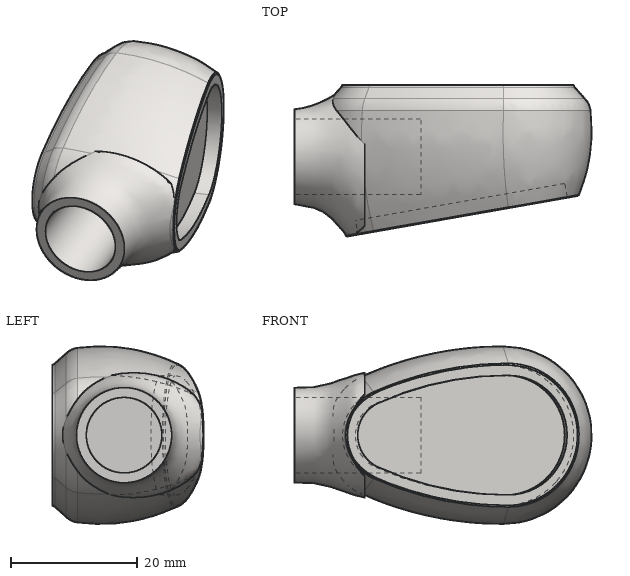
import cadquery as cq
import math


body_center_distance = 18.25
egg_radius_difference = 3.9
body_center_x = 33.05
body_radius = 13.9
widest_y = 1.25
widest_tilt = 3.5

back_y = 11.4
back_radius = 11.1
band_y = 10.95
band_radius = 11.35
bevel_y = 9.25
bevel_radius = 12.9
shoulder_y = 7.4
shoulder_radius = 13.85
shoulder_mid_y = 8.4
shoulder_mid_radius = 13.5

front_tilt = 10.0
front_center_distance = 18.65
front_center_x = 33.85
front_center_y = -8.15
front_radius = 11.3
rim_chamfer = 0.2
rim_width = 1.85
window_depth = 2.35

neck_radius = 7.55
bore_radius = 6.0
bore_depth = 20.0
neck_sections = [
    (0.0, -neck_radius, neck_radius, neck_radius),
    (2.75, -8.0, 8.1, 7.65),
    (5.5, -9.4, 9.3, 8.2),
    (8.3, -12.45, 10.8, 9.15),
    (11.1, -14.05, 11.0, 9.9),
]
trim_size = 141.25


def section_plane(center_x, y, tilt=0.0):
    """Plane through the large arc center, facing -Y and turned about Z by tilt degrees."""
    angle = math.radians(tilt)
    return cq.Plane(
        origin=(center_x, y, 0),
        xDir=(math.cos(angle), math.sin(angle), 0),
        normal=(math.sin(angle), -math.cos(angle), 0),
    )


def egg(plane, large_radius, center_distance=body_center_distance):
    """Egg outline on a plane, with the large arc centered on the plane origin."""
    small_radius = large_radius - egg_radius_difference
    side_radius = (
        center_distance**2 + large_radius**2 - small_radius**2
    ) / (2 * egg_radius_difference)
    side_drop = side_radius - large_radius
    end_angle = math.atan2(center_distance, side_drop)

    def side_point(angle, sign):
        x = -side_radius * math.sin(angle)
        z = side_radius * math.cos(angle) - side_drop
        return (x, sign * z)

    return (
        cq.Workplane(plane)
        .moveTo(0, -large_radius)
        .threePointArc((large_radius, 0), (0, large_radius))
        .threePointArc(side_point(end_angle / 2, 1), side_point(end_angle, 1))
        .threePointArc((-center_distance - small_radius, 0), side_point(end_angle, -1))
        .threePointArc(side_point(end_angle / 2, -1), (0, -large_radius))
        .close()
    )


def loft_eggs(sections, ruled=False):
    wires = [egg(*section).wire().val() for section in sections]
    return cq.Workplane(cq.Solid.makeLoft(wires, ruled))


def make_body():
    back = (section_plane(body_center_x, back_y), back_radius)
    band = (section_plane(body_center_x, band_y), band_radius)
    bevel = (section_plane(body_center_x, bevel_y), bevel_radius)
    shoulder_mid = (section_plane(body_center_x, shoulder_mid_y), shoulder_mid_radius)
    shoulder = (section_plane(body_center_x, shoulder_y), shoulder_radius)
    widest_center_y = widest_y - body_radius * math.sin(math.radians(widest_tilt))
    widest = (section_plane(body_center_x, widest_center_y, widest_tilt), body_radius)
    front = (front_plane, front_radius, front_center_distance)
    main = loft_eggs([shoulder, widest, front])
    main = main.faces(cq.selectors.NearestToPointSelector(front_plane.origin.toTuple()))
    main = main.edges().chamfer(rim_chamfer)
    rounded_shoulder = loft_eggs([shoulder, shoulder_mid, bevel])
    back_edge = loft_eggs([bevel, band, back], ruled=True)
    return main.union(rounded_shoulder).union(back_edge)


def make_neck():
    """Flaring neck, trimmed flush with the slanted front face."""
    wires = []
    for x, low_y, high_y, half_height in neck_sections:
        plane = cq.Plane(origin=(x, (low_y + high_y) / 2, 0), xDir=(0, 1, 0), normal=(1, 0, 0))
        section = cq.Workplane(plane).ellipse((high_y - low_y) / 2, half_height)
        wires.append(section.wire().val())
    neck = cq.Workplane(cq.Solid.makeLoft(wires))
    in_front_of_face = cq.Workplane(front_plane).rect(trim_size, trim_size).extrude(trim_size)
    return neck.cut(in_front_of_face)


front_plane = section_plane(front_center_x, front_center_y, front_tilt)
bore = cq.Workplane("YZ").circle(bore_radius).extrude(bore_depth)
window = egg(front_plane, front_radius - rim_width, front_center_distance).extrude(-window_depth)

result = make_body().union(make_neck()).cut(bore).cut(window)